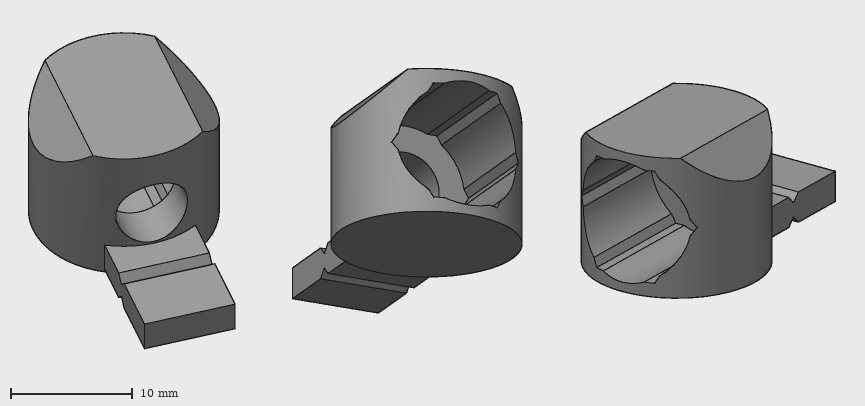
import cadquery as cq
import math

body_diameter = 15.7
body_height = 12.5
top_chamfer = 3.1

bore_height = body_height / 2
through_hole_diameter = 6.2
pocket_diameter = 10.8
hex_across_flats = 10.0
pocket_floor_x = 4.0

overall_length = 25.0
tab_width = 7.85
tab_thickness = 2.7
tab_base_z = 0.25
notch_to_tab_end = 6.0
notch_depth = 0.7

body_radius = body_diameter / 2
tab_end_x = overall_length - body_radius
tab_top_z = tab_base_z + tab_thickness
tab_root_x = (pocket_floor_x + body_radius) / 2


def make_body():
    """Cylinder whose top is cut at 45 degrees along both Y sides."""
    cylinder = cq.Workplane("XY").circle(body_radius).extrude(body_height)
    envelope = (
        cq.Workplane("XY")
        .box(body_diameter, body_diameter, body_height, centered=(True, True, False))
        .edges("|X and >Z")
        .chamfer(top_chamfer)
    )
    return cylinder.intersect(envelope)


def make_bores():
    """Round through hole plus a pocket that is a circle merged with a hexagon."""
    start_plane = cq.Workplane("YZ", origin=(-body_radius, 0, bore_height))
    pocket_depth = body_radius + pocket_floor_x
    hex_corner_diameter = hex_across_flats / math.cos(math.pi / 6)
    through_hole = start_plane.circle(through_hole_diameter / 2).extrude(body_diameter)
    round_pocket = start_plane.circle(pocket_diameter / 2).extrude(pocket_depth)
    hex_pocket = start_plane.polygon(6, hex_corner_diameter).extrude(pocket_depth)
    return through_hole.union(round_pocket).union(hex_pocket)


def make_tab():
    """Flat bar with a 45-degree V-notch across its upper and lower faces."""
    notch_x = tab_end_x - notch_to_tab_end
    outline = [
        (tab_root_x, tab_base_z),
        (notch_x - notch_depth, tab_base_z),
        (notch_x, tab_base_z + notch_depth),
        (notch_x + notch_depth, tab_base_z),
        (tab_end_x, tab_base_z),
        (tab_end_x, tab_top_z),
        (notch_x + notch_depth, tab_top_z),
        (notch_x, tab_top_z - notch_depth),
        (notch_x - notch_depth, tab_top_z),
        (tab_root_x, tab_top_z),
    ]
    return cq.Workplane("XZ").polyline(outline).close().extrude(tab_width / 2, both=True)


result = make_body().cut(make_bores()).union(make_tab())